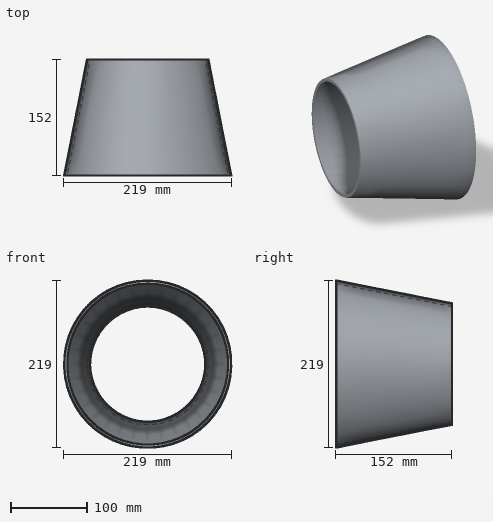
import cadquery as cq

wide_diameter = 219.0
narrow_diameter = 159.0
length = 152.0
wall = 4.2

wide_radius = wide_diameter / 2
narrow_radius = narrow_diameter / 2


def frustum(inset):
    """Solid cone frustum along +Y from Y = 0, with both end radii reduced by inset."""
    origin = cq.Vector(0, 0, 0)
    axis = cq.Vector(0, 1, 0)
    cone = cq.Solid.makeCone(wide_radius - inset, narrow_radius - inset, length, origin, axis)
    return cq.Workplane(obj=cone)


outer_body = frustum(0)
bore = frustum(wall)

result = outer_body.cut(bore)